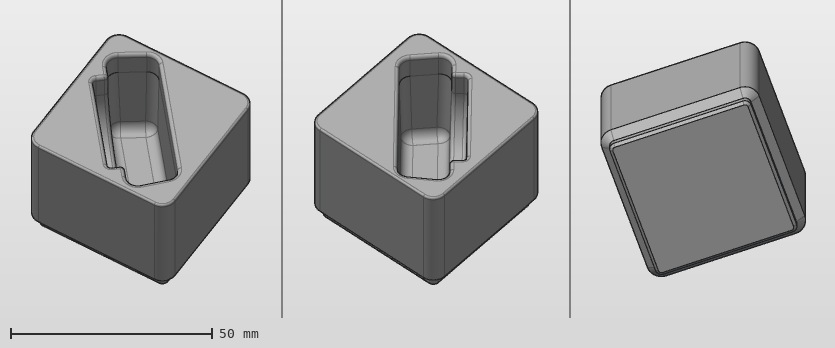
import cadquery as cq
import math

side = 41.5
total_height = 35.0
body_corner_radius = 3.75
top_edge_radius = 0.6
step_chamfer = 2.15
foot_chamfer = 0.8
foot_height = 2.57

recess_turn = -50.0
recess_center_along = -0.35
recess_center_across = 0.4
rim_radius = 1.0

pocket_length = 40.35
pocket_width = 13.07
pocket_end_slant = 6.4
pocket_depth = 27.97
upright_depth = 6.8
end_draft = 3.5
side_draft = 1.4
pocket_round = 3.0

slot_length = 28.05
slot_reach = 4.05
slot_round = rim_radius

slot_depth = upright_depth + slot_length / 2
slack = 0.05


def rounded_square(size, corner_radius, height, z):
    return (
        cq.Workplane("XY", origin=(0, 0, z))
        .rect(size, size)
        .extrude(height)
        .edges("|Z")
        .fillet(corner_radius)
    )


def make_block():
    foot = rounded_square(
        side - 2 * step_chamfer, body_corner_radius - step_chamfer, foot_height, 0
    ).faces("<Z").edges().chamfer(foot_chamfer)
    body = rounded_square(side, body_corner_radius, total_height - foot_height, foot_height)
    body = body.faces("<Z").edges().chamfer(step_chamfer)
    body = body.faces(">Z").edges().fillet(top_edge_radius)
    return body.union(foot)


def trapezoid(length, width):
    """Corners of the pocket outline, the longer side on the slot's side."""
    half_width = width / 2
    slant = half_width * math.tan(math.radians(pocket_end_slant))
    long_half = length / 2 + slant
    short_half = length / 2 - slant
    return [
        (-long_half, -half_width),
        (long_half, -half_width),
        (short_half, half_width),
        (-short_half, half_width),
    ]


def make_pocket():
    """Pocket volume with its mouth at z = 0."""
    upright = (
        cq.Workplane("XY")
        .polyline(trapezoid(pocket_length, pocket_width))
        .close()
        .extrude(-upright_depth)
        .edges("|Z")
        .fillet(pocket_round)
    )
    taper_depth = pocket_depth - upright_depth
    floor_length = pocket_length - 2 * taper_depth * math.tan(math.radians(end_draft))
    floor_width = pocket_width - 2 * taper_depth * math.tan(math.radians(side_draft))
    tapered = (
        cq.Workplane("XY", origin=(0, 0, -upright_depth))
        .polyline(trapezoid(pocket_length, pocket_width))
        .close()
        .workplane(offset=-taper_depth)
        .polyline(trapezoid(floor_length, floor_width))
        .close()
        .loft(ruled=True)
        .edges("not >Z")
        .fillet(pocket_round)
    )
    return upright.union(tapered)


def make_slot():
    """Slot volume with its mouth at z = 0: upright ends running into a half disc."""
    half_length = slot_length / 2
    outer_wall = -pocket_width / 2 - slot_reach
    lengthwise = (
        cq.Workplane("XZ", origin=(0, outer_wall, 0))
        .moveTo(-half_length, 0)
        .lineTo(-half_length, -upright_depth)
        .threePointArc((0, -slot_depth), (half_length, -upright_depth))
        .lineTo(half_length, 0)
        .close()
        .extrude(outer_wall)
    )
    wall_shift = half_length * math.tan(math.radians(side_draft))
    crosswise = (
        cq.Workplane("YZ", origin=(-half_length, 0, 0))
        .moveTo(0, 0)
        .lineTo(outer_wall, 0)
        .lineTo(outer_wall, -upright_depth)
        .lineTo(outer_wall + wall_shift, -slot_depth)
        .lineTo(0, -slot_depth)
        .close()
        .extrude(slot_length)
    )
    slot = lengthwise.intersect(crosswise)
    outer_edges = cq.selectors.BoxSelector(
        (-half_length - slack, outer_wall - slack, -slot_depth - slack),
        (half_length + slack, outer_wall + wall_shift + slack, -slack),
    )
    split_line = cq.selectors.ParallelDirSelector(cq.Vector(1, 0, 0))
    return slot.edges(outer_edges - split_line).fillet(slot_round)


def place_block(block):
    """Bring the block into the recess frame, with its top face at z = 0."""
    return (
        block.translate((0, 0, -total_height))
        .rotate((0, 0, 0), (0, 0, 1), -recess_turn)
        .translate((-recess_center_along, -recess_center_across, 0))
    )


def restore_block(block):
    """Bring the block back from the recess frame onto its own axes."""
    return (
        block.translate((recess_center_along, recess_center_across, 0))
        .rotate((0, 0, 0), (0, 0, 1), recess_turn)
        .translate((0, 0, total_height))
    )


def round_mouth(block):
    """Round the recess rim together with the edges where the slot meets the pocket."""
    rim = block.faces(">Z").val().innerWires()[0].Edges()
    junction_zone = cq.selectors.BoxSelector(
        (-slot_length / 2 - slack, -pocket_width / 2 - slack, -slot_depth - slack),
        (slot_length / 2 + slack, -pocket_width / 2 + rim_radius, -slack),
    )
    junction = block.edges(junction_zone).vals()
    return block.newObject(rim + junction).fillet(rim_radius)


carved_block = place_block(make_block()).cut(make_pocket().union(make_slot()))
result = restore_block(round_mouth(carved_block))